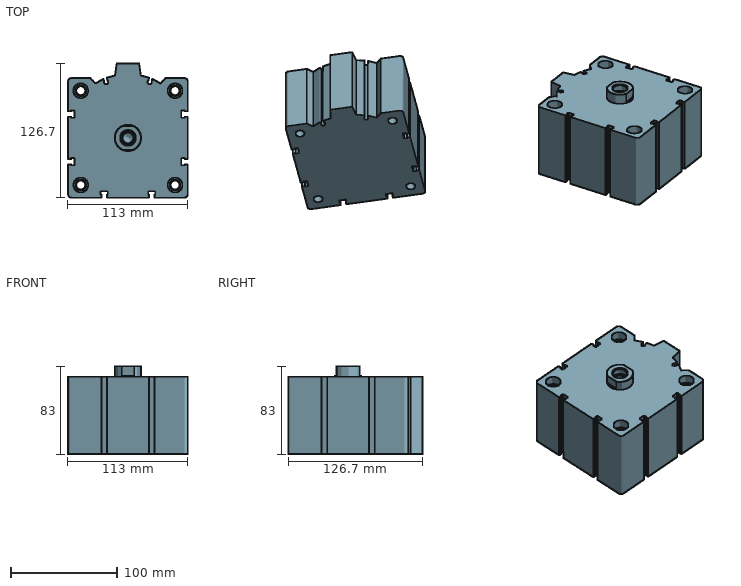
import cadquery as cq
import math


side = 113.0
half_side = side / 2
housing_height = 73.0
corner_radius = 3.3

overall_length = 126.7
crest_top = overall_length - half_side
crest_half_width = 10.6
shoulder_x = 12.3
shoulder_y = 58.9
shoulder_slope = 15
valley_x = 30.5
valley_y = 51.5
valley_inner_slope = 30
valley_mouth_x = valley_x + half_side - valley_y

groove_x = 20.5
groove_y = 52.6
groove_radius = 1.9
groove_mouth_width = 3.0
groove_mouth_length = 7.6
groove_lip_x = 22.7
groove_lip_y = 55.9
groove_lip_radius = 0.5

slot_offset = 22.4
slot_mouth_width = 5.0
slot_inner_width = 6.5
slot_depth = 6.1
slot_lip = 3.0
slot_edge_bevel = 0.4

fixing_offset = 44.5
fixing_counterbore_diameter = 14
fixing_counterbore_depth = 8.9
fixing_countersink_diameter = 10.1
fixing_hole_diameter = 8.4

rod_diameter = 25.0
rod_top = 83.0
rod_insertion = 38
rod_length = rod_top - housing_height + rod_insertion
rod_seat = rod_top - rod_length
rod_end_chamfer = 0.3
flat_width = 22.0
flat_clearance = 1.0
flat_bottom = housing_height + flat_clearance

mouth_diameter = 15.0
relief_diameter = 13.0
relief_depth = 6.6
thread_sink_diameter = 12.3
thread_diameter = 10.1
thread_depth = 25.3
drill_point_angle = 118


def housing_block():
    """Square block with round corners and the faceted crest along +Y."""
    inner = math.tan(math.radians(valley_inner_slope))
    outer = math.tan(math.radians(shoulder_slope))
    ridge_x = (valley_y + inner * valley_x - shoulder_y - outer * shoulder_x) / (inner - outer)
    ridge_y = valley_y + inner * (valley_x - ridge_x)
    right_half = [
        (crest_half_width, crest_top),
        (shoulder_x, shoulder_y),
        (ridge_x, ridge_y),
        (valley_x, valley_y),
        (valley_mouth_x, half_side),
        (half_side, half_side),
        (half_side, -half_side),
    ]
    left_half = [(-x, y) for x, y in reversed(right_half)]
    return (
        cq.Workplane("XY")
        .polyline(right_half + left_half)
        .close()
        .extrude(housing_height)
        .edges("|Z")
        .edges("<X or >X")
        .fillet(corner_radius)
    )


def t_slot(offset, turn):
    """T-slot cutter in the -Y side with bevelled corners, turned about Z to another side."""
    mouth_half = slot_mouth_width / 2
    inner_half = slot_inner_width / 2
    right_half = [
        (mouth_half + slot_edge_bevel, 0),
        (mouth_half, slot_edge_bevel),
        (mouth_half, slot_lip),
        (inner_half, slot_lip),
        (inner_half, slot_depth - slot_edge_bevel),
        (inner_half - slot_edge_bevel, slot_depth),
    ]
    left_half = [(-x, y) for x, y in reversed(right_half)]
    slot = cq.Workplane("XY").polyline(right_half + left_half).close().extrude(housing_height)
    return slot.translate((offset, -half_side, 0)).rotate((0, 0, 0), (0, 0, 1), turn)


def sensor_groove(hand):
    """Keyhole-shaped groove cutter, square to the shoulder on the given side of the crest."""
    bulb = cq.Workplane("XY").circle(groove_radius).extrude(housing_height)
    mouth = (
        cq.Workplane("XY")
        .center(0, groove_mouth_length / 2)
        .rect(groove_mouth_width, groove_mouth_length)
        .extrude(housing_height)
    )
    groove = bulb.union(mouth).rotate((0, 0, 0), (0, 0, 1), -hand * shoulder_slope)
    return groove.translate((hand * groove_x, groove_y, 0))


def fixing_hole(x, y):
    """Through hole cutter, countersunk at the floor of its counterbore."""
    bore_radius = fixing_hole_diameter / 2
    sink_radius = fixing_countersink_diameter / 2
    counterbore_radius = fixing_counterbore_diameter / 2
    floor = housing_height - fixing_counterbore_depth
    half_section = [
        (0, 0),
        (bore_radius, 0),
        (bore_radius, floor - (sink_radius - bore_radius)),
        (sink_radius, floor),
        (counterbore_radius, floor),
        (counterbore_radius, housing_height),
        (0, housing_height),
    ]
    return cq.Workplane("XZ").polyline(half_section).close().revolve().translate((x, y, 0))


def make_housing():
    body = housing_block()
    for turn in (0, 90, -90):
        for offset in (-slot_offset, slot_offset):
            body = body.cut(t_slot(offset, turn))
    for hand in (-1, 1):
        lip = cq.selectors.NearestToPointSelector((hand * groove_lip_x, groove_lip_y, housing_height / 2))
        body = body.cut(sensor_groove(hand)).edges(lip).fillet(groove_lip_radius)
    for x in (-fixing_offset, fixing_offset):
        for y in (-fixing_offset, fixing_offset):
            body = body.cut(fixing_hole(x, y))
    rod_bore = cq.Workplane("XY").workplane(offset=rod_seat).circle(rod_diameter / 2).extrude(rod_length)
    return body.cut(rod_bore)


def rod_end_hole():
    """Chamfered relief, then a countersunk thread hole with a drill point."""
    mouth_radius = mouth_diameter / 2
    relief_radius = relief_diameter / 2
    sink_radius = thread_sink_diameter / 2
    thread_radius = thread_diameter / 2
    relief_floor = rod_top - relief_depth
    thread_floor = rod_top - thread_depth
    point_height = thread_radius / math.tan(math.radians(drill_point_angle / 2))
    half_section = [
        (0, rod_top),
        (mouth_radius, rod_top),
        (relief_radius, rod_top - (mouth_radius - relief_radius)),
        (relief_radius, relief_floor),
        (sink_radius, relief_floor),
        (thread_radius, relief_floor - (sink_radius - thread_radius)),
        (thread_radius, thread_floor),
        (0, thread_floor - point_height),
    ]
    return cq.Workplane("XZ").polyline(half_section).close().revolve()


def make_rod():
    body = (
        cq.Workplane("XY")
        .workplane(offset=rod_seat)
        .circle(rod_diameter / 2)
        .extrude(rod_length)
        .faces(">Z")
        .chamfer(rod_end_chamfer)
    )
    flatted_end = (
        cq.Workplane("XY")
        .workplane(offset=flat_bottom)
        .rect(rod_diameter, flat_width)
        .extrude(rod_top - flat_bottom)
    )
    full_end = (
        cq.Workplane("XY")
        .workplane(offset=flat_bottom)
        .circle(rod_diameter)
        .extrude(rod_top - flat_bottom)
    )
    return body.cut(full_end.cut(flatted_end)).cut(rod_end_hole())


housing = make_housing()
rod = make_rod()
result = cq.Compound.makeCompound([housing.val(), rod.val()])